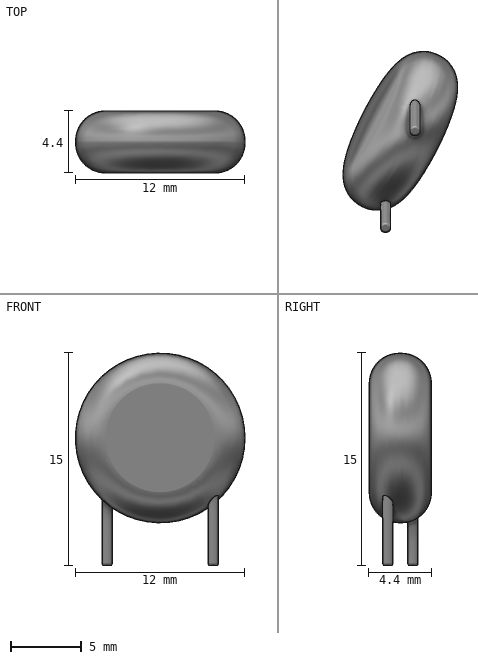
import cadquery as cq

disc_diameter = 12.0
disc_thickness = 4.4
rim_band_width = 0.11
edge_radius = (disc_thickness - rim_band_width) / 2

lead_diameter = 0.72
lead_pitch_x = 7.5
lead_pitch_y = 1.77
overall_height = 15.03
lead_tip_radius = 0.16

disc_radius = disc_diameter / 2
lead_bottom_z = disc_radius - overall_height
lead_top_z = -disc_radius / 2


def make_disc():
    """Flat-faced disc with both circular edges rounded."""
    return (
        cq.Workplane("XZ")
        .circle(disc_radius)
        .extrude(disc_thickness / 2, both=True)
        .edges("%CIRCLE")
        .fillet(edge_radius)
    )


def make_lead(x, y):
    """Round wire lead with a rounded lower tip."""
    return (
        cq.Workplane("XY", origin=(x, y, lead_bottom_z))
        .circle(lead_diameter / 2)
        .extrude(lead_top_z - lead_bottom_z)
        .faces("<Z")
        .edges()
        .fillet(lead_tip_radius)
    )


result = make_disc()
for side in (-1, 1):
    lead = make_lead(side * lead_pitch_x / 2, -side * lead_pitch_y / 2)
    result = result.union(lead)